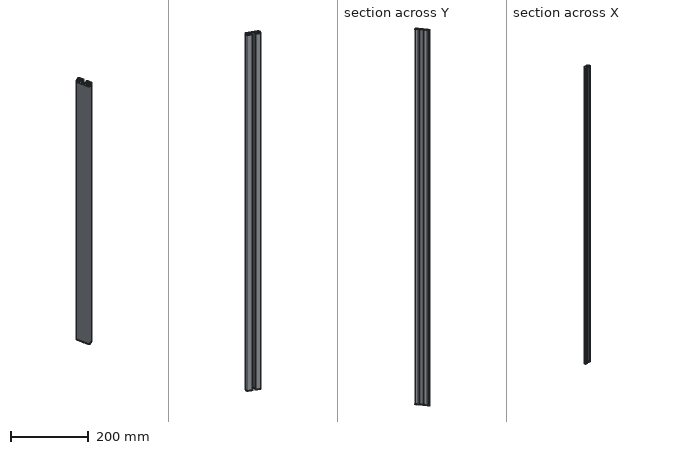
import cadquery as cq

WIDTH = 40.0
THICKNESS = 16.0
LENGTH = 1000.0
FRONT_CORNER_RADIUS = 4.0
BACK_CORNER_RADIUS = 3.5

SLOT_WIDTH = 8.0
SLOT_DEPTH = 12.5
SLOT_FLOOR_RADIUS = 1.0
SLOT_MOUTH_CHAMFER = 1.0

CHANNEL_HEIGHT = 5.0
CHANNEL_LENGTH = 9.0
CHANNEL_CENTRE_Y = 0.5

BACK_Y = THICKNESS / 2
ARM_CENTRE_X = (WIDTH + SLOT_WIDTH) / 4


def rounded_bar():
    """Solid bar centred on the origin, with rounded long edges."""
    bar = cq.Workplane("XY").box(WIDTH, THICKNESS, LENGTH)
    bar = bar.edges("|Z and <Y").fillet(FRONT_CORNER_RADIUS)
    return bar.edges("|Z and >Y").fillet(BACK_CORNER_RADIUS)


def slot_cutter():
    """Full-length slot with rounded floor corners and a chamfered mouth."""
    slot = (
        cq.Workplane("XY")
        .box(SLOT_WIDTH, SLOT_DEPTH, LENGTH)
        .translate((0, BACK_Y - SLOT_DEPTH / 2, 0))
        .edges("|Z and <Y")
        .fillet(SLOT_FLOOR_RADIUS)
    )
    half_mouth = SLOT_WIDTH / 2 + SLOT_MOUTH_CHAMFER
    mouth = (
        cq.Workplane("XY")
        .polyline([
            (-half_mouth, BACK_Y),
            (half_mouth, BACK_Y),
            (SLOT_WIDTH / 2, BACK_Y - SLOT_MOUTH_CHAMFER),
            (-SLOT_WIDTH / 2, BACK_Y - SLOT_MOUTH_CHAMFER),
        ])
        .close()
        .extrude(LENGTH / 2, both=True)
    )
    return slot.union(mouth)


def channel_cutters():
    """One full-length round-ended channel in the middle of each arm."""
    return (
        cq.Workplane("XY")
        .pushPoints([(side * ARM_CENTRE_X, CHANNEL_CENTRE_Y) for side in (-1, 1)])
        .slot2D(CHANNEL_LENGTH, CHANNEL_HEIGHT)
        .extrude(LENGTH / 2, both=True)
    )


result = rounded_bar().cut(slot_cutter()).cut(channel_cutters())